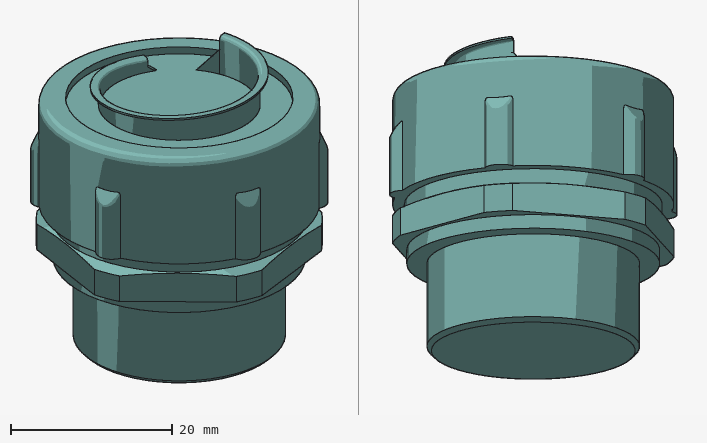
import cadquery as cq
import math

spigot_radius = 26.4 / 2
spigot_height = 11.25
spigot_chamfer = 0.55

flange_radius = 31.4 / 2
flange_top = 13.0

hex_across_flats = 32.4
hex_corner_radius = 17.75
hex_top = 17.0
hex_cone_angle = 15.0
hex_sides = 6
hex_half_angle = 180 / hex_sides

collar_radius = 32.0 / 2

cap_radius = 34.9 / 2
cap_bottom = 18.85
cap_top = 33.25
cap_fillet = 1.05
recess_radius = 28.2 / 2
recess_depth = 0.95
floor_z = cap_top - recess_depth

rib_count = 6
first_rib_angle = 90.0
rib_reach = 36.9 / 2
rib_radius = 2.0
rib_slope_bottom = 26.1
rib_slope_top = 27.8
rib_edge_fillet = 0.5

overall_height = 37.5
wall_inner_radius = 9.8
wall_thickness = 0.25
wall_outer_radius = wall_inner_radius + wall_thickness
lip_radius = wall_outer_radius + 1.0
lip_bend = 0.5
lip_thickness = wall_thickness
helix_pitch = 4.0
lip_start_angle = 143.8
lip_end_angle = 90.0
wall_height = 5.5

high_foot_height = 3.4
high_foot_angle = 107.7
low_foot_height = 0.9
low_foot_angle = 136.8


def disc(radius, bottom, top):
    return cq.Workplane("XY").workplane(offset=bottom).circle(radius).extrude(top - bottom)


def make_spigot():
    return disc(spigot_radius, 0, spigot_height).faces("<Z").chamfer(spigot_chamfer)


def make_hexagon():
    height = hex_top - flange_top
    corner_diameter = hex_across_flats / math.cos(math.radians(hex_half_angle))
    prism = (
        cq.Workplane("XY")
        .workplane(offset=flange_top)
        .transformed(rotate=(0, 0, hex_half_angle))
        .polygon(hex_sides, corner_diameter)
        .extrude(height)
    )
    cone_drop = (hex_corner_radius - collar_radius) * math.tan(math.radians(hex_cone_angle))
    turned = (
        cq.Workplane("XZ")
        .moveTo(0, flange_top)
        .lineTo(hex_corner_radius, flange_top)
        .lineTo(hex_corner_radius, hex_top - cone_drop)
        .lineTo(collar_radius, hex_top)
        .lineTo(0, hex_top)
        .close()
        .revolve(360, (0, 0, 0), (0, 1, 0))
    )
    return prism.intersect(turned)


def make_cap():
    cap = disc(cap_radius, cap_bottom, cap_top).faces(">Z").edges().fillet(cap_fillet)
    return cap.cut(disc(recess_radius, floor_z, cap_top))


def make_rib():
    """Round rib on the +X side, its top sloping up to the cap wall."""
    centre_x = rib_reach - rib_radius
    inner_x = cap_radius - rib_radius
    slope = (rib_slope_top - rib_slope_bottom) / (rib_reach - cap_radius)
    inner_z = rib_slope_bottom + slope * (rib_reach - inner_x)
    post = disc(rib_radius, cap_bottom, inner_z).translate((centre_x, 0, 0))
    side = (
        cq.Workplane("XZ")
        .moveTo(inner_x, cap_bottom)
        .lineTo(rib_reach, cap_bottom)
        .lineTo(rib_reach, rib_slope_bottom)
        .lineTo(inner_x, inner_z)
        .close()
        .extrude(rib_radius, both=True)
    )
    return post.intersect(side).faces(">Z").edges("%ELLIPSE").fillet(rib_edge_fillet)


def add_ribs(body):
    rib = make_rib()
    for index in range(rib_count):
        angle = first_rib_angle + index * 360 / rib_count
        body = body.union(rib.rotate((0, 0, 0), (0, 0, 1), angle))
    return body


def make_sleeve():
    """Thin wall with an outward lip that climbs along a helix."""
    sweep_angle = 360 + lip_end_angle - lip_start_angle
    rise = helix_pitch * sweep_angle / 360
    lip_top = overall_height - rise
    outer_bend = lip_bend - lip_thickness
    diagonal = math.cos(math.radians(45))
    profile = (
        cq.Workplane("XZ")
        .moveTo(wall_inner_radius, lip_top - wall_height)
        .lineTo(wall_inner_radius, lip_top - lip_bend)
        .threePointArc(
            (wall_inner_radius + lip_bend * (1 - diagonal), lip_top - lip_bend * (1 - diagonal)),
            (wall_inner_radius + lip_bend, lip_top),
        )
        .lineTo(lip_radius, lip_top)
        .lineTo(lip_radius, lip_top - lip_thickness)
        .lineTo(wall_outer_radius + outer_bend, lip_top - lip_thickness)
        .threePointArc(
            (
                wall_outer_radius + outer_bend * (1 - diagonal),
                lip_top - lip_bend + outer_bend * diagonal,
            ),
            (wall_outer_radius, lip_top - lip_bend),
        )
        .lineTo(wall_outer_radius, lip_top - wall_height)
        .close()
    )
    helix = cq.Wire.makeHelix(helix_pitch, rise, wall_inner_radius)
    sleeve = profile.sweep(cq.Workplane(helix), isFrenet=True)
    return sleeve.rotate((0, 0, 0), (0, 0, 1), lip_start_angle)


def make_foot(wall_angle, foot_angle, height):
    """Piece of the wall that widens from the wall end down to the floor."""
    wall_x = wall_outer_radius * math.cos(math.radians(wall_angle))
    foot_x = wall_outer_radius * math.cos(math.radians(foot_angle))
    overlap = math.copysign(wall_thickness, wall_x - foot_x)
    wedge = (
        cq.Workplane("XZ")
        .moveTo(wall_x + overlap, floor_z - wall_thickness)
        .lineTo(foot_x, floor_z - wall_thickness)
        .lineTo(foot_x, floor_z)
        .lineTo(wall_x, floor_z + height)
        .lineTo(wall_x + overlap, floor_z + height)
        .close()
        .extrude(-wall_outer_radius)
    )
    ring_top = floor_z + height
    ring = disc(wall_outer_radius, floor_z - wall_thickness, ring_top)
    ring = ring.cut(disc(wall_inner_radius, floor_z - wall_thickness, ring_top))
    return ring.intersect(wedge)


body = make_spigot()
body = body.union(disc(flange_radius, spigot_height, flange_top))
body = body.union(make_hexagon())
body = body.union(disc(collar_radius, hex_top, cap_bottom))
body = body.union(make_cap())
body = add_ribs(body)
body = body.union(make_sleeve())
body = body.union(make_foot(lip_end_angle, high_foot_angle, high_foot_height))
body = body.union(make_foot(lip_start_angle, low_foot_angle, low_foot_height))

result = body